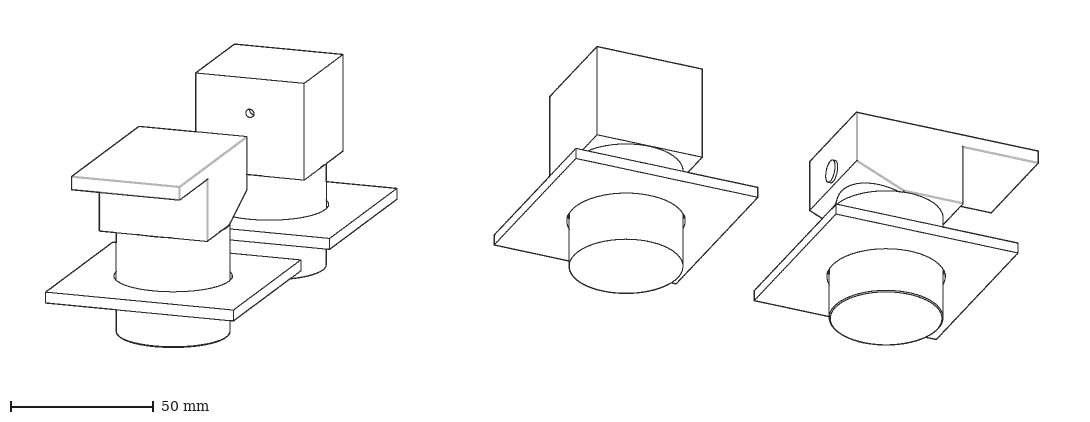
import cadquery as cq

valve_spacing = 100.0
plate_side = 70.0
plate_thickness = 4.0
plate_base_z = 18.0
plate_bore_diameter = 41.5
sleeve_diameter = 40.0
handle_width = 40.5

knob_axis_y = 0.0
knob_sleeve_height = 38.0
knob_top_z = 73.2
screw_hole_diameter = 3.0
screw_hole_depth = 4.0
screw_hole_z = 60.4

lever_axis_y = knob_axis_y - valve_spacing
lever_sleeve_base_z = 1.4
lever_sleeve_top_z = 41.5
lever_sleeve_chamfer = 0.4
dome_radius = 18.5
lever_base_z = 41.8
lever_top_z = 69.3
lever_thickness = 5.0
lever_edge_radius = 0.3
lever_overhang = 14.57
lever_tip_reach = plate_side / 2 + lever_overhang
lever_length = 70.0
lever_back = lever_length - lever_tip_reach
block_depth = 41.0
block_front = lever_back - block_depth
slope_start = 2.2
slope_back_z = 49.8
cap_diameter = 8.0
cap_z = 55.4
cap_depth = 2.0
cap_protrusion = 1.0


def make_plate(axis_y):
    """Square wall plate with a round clearance bore."""
    return (
        cq.Workplane("XY", origin=(0, axis_y, plate_base_z))
        .rect(plate_side, plate_side)
        .circle(plate_bore_diameter / 2)
        .extrude(plate_thickness)
    )


def make_sleeve(axis_y, base_z, top_z):
    """Round sleeve passing through the plate."""
    return (
        cq.Workplane("XY", origin=(0, axis_y, base_z))
        .circle(sleeve_diameter / 2)
        .extrude(top_z - base_z)
    )


def make_knob():
    """Square knob with a blind screw hole in its -Y face."""
    knob = (
        cq.Workplane("XY", origin=(0, knob_axis_y, knob_sleeve_height))
        .rect(handle_width, handle_width)
        .extrude(knob_top_z - knob_sleeve_height)
    )
    screw_hole = (
        cq.Workplane("XZ", origin=(0, knob_axis_y - handle_width / 2, screw_hole_z))
        .circle(screw_hole_diameter / 2)
        .extrude(-screw_hole_depth)
    )
    return knob.cut(screw_hole)


def make_dome():
    """Hemisphere that the lever tilts on."""
    return (
        cq.Workplane("XZ", origin=(0, lever_axis_y, lever_sleeve_top_z))
        .moveTo(0, 0)
        .lineTo(dome_radius, 0)
        .radiusArc((0, dome_radius), -dome_radius)
        .close()
        .revolve(360, (0, 0), (0, 1))
    )


def make_cap():
    """Round cap in the back face of the lever, standing slightly proud."""
    return (
        cq.Workplane("XZ", origin=(0, lever_axis_y + lever_back + cap_protrusion, cap_z))
        .circle(cap_diameter / 2)
        .extrude(cap_protrusion + cap_depth)
    )


def make_lever(dome, cap):
    """Block with a flat lever plate, seated over the dome and holding the cap."""
    profile = [
        (lever_back, lever_top_z),
        (-lever_tip_reach, lever_top_z),
        (-lever_tip_reach, lever_top_z - lever_thickness),
        (block_front, lever_top_z - lever_thickness),
        (block_front, lever_base_z),
        (slope_start, lever_base_z),
        (lever_back, slope_back_z),
    ]
    lever = (
        cq.Workplane("YZ", origin=(0, lever_axis_y, 0))
        .polyline(profile)
        .close()
        .extrude(handle_width / 2, both=True)
        .faces("<X or >X or <Y")
        .fillet(lever_edge_radius)
    )
    return lever.cut(dome).cut(cap)


plates = [make_plate(axis_y) for axis_y in (knob_axis_y, lever_axis_y)]

knob_sleeve = make_sleeve(knob_axis_y, 0, knob_sleeve_height)
knob = make_knob()

lever_sleeve = (
    make_sleeve(lever_axis_y, lever_sleeve_base_z, lever_sleeve_top_z)
    .faces("<Z")
    .chamfer(lever_sleeve_chamfer)
)
dome = make_dome()
cap = make_cap()
lever = make_lever(dome, cap)

bodies = [*plates, knob_sleeve, knob, lever_sleeve, dome, cap, lever]
result = cq.Compound.makeCompound([body.val() for body in bodies])